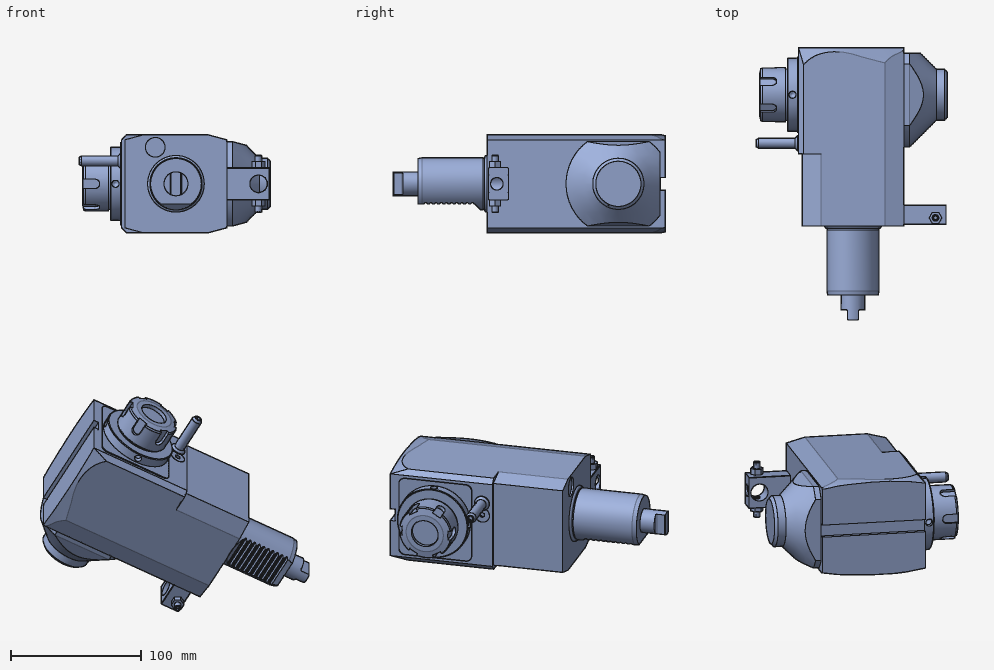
import cadquery as cq
import math


CLEARANCE = 2.0

HOUSING_HEIGHT = 75.0
HOUSING_LENGTH = 136.2
HOUSING_HALF_WIDTH = 39.0
HEAD_LEFT = -41.5
HEAD_START = 55.1
BEVEL_WIDTH = 14.5
BEVEL_SLOPE = math.tan(math.radians(15))
BEVEL_DROP = BEVEL_WIDTH * BEVEL_SLOPE
NOTCH_DEPTH = 4.0
NOTCH_HEIGHT = 9.5
TOP = HOUSING_HEIGHT / 2
BEVEL_Z = TOP - BEVEL_DROP

CROWN_STATIONS = (
    (-43.7, 4.4, 17.9),
    (-37.5, 3.1, 12.7),
    (-25.0, 1.7, 4.8),
    (-12.5, 0.8, 3.1),
    (0.0, 0.8, 5.0),
    (12.5, 1.5, 8.7),
    (25.0, 2.3, 11.9),
    (31.8, 3.3, 14.0),
    (41.5, 4.2, 16.2),
)

SPINDLE_Y = 100.3
PLATE_LENGTH = 57.8
PLATE_HEIGHT = 62.8
PLATE_CORNER = 4.8
PLATE_FACE = HEAD_LEFT - 0.8
FLANGE_RADIUS = 28.0
FLANGE_FACE = -50.1
FLANGE_CHAMFER = 0.6
FLANGE_HOLE_RADIUS = 2.7
FLANGE_HOLE_DEPTH = 4.2
FLANGE_HOLE_POINT = 1.5
FLANGE_HOLE_X = -46.2
FLANGE_HOLES = 4
GROOVE_RADIUS = 19.8
NUT_RADIUS = 20.8
NUT_BACK = -51.5
NUT_FRONT = -71.5
NUT_CONE_LENGTH = 1.0
NUT_CONE_RADIUS = 20.2
NUT_CHAMFER_LENGTH = 1.5
NUT_FACE_RADIUS = 14.8
NUT_BORE_RADIUS = 10.6
NUT_BORE_DEPTH = 3.1
NUT_SLOTS = 6
NUT_SLOT_WIDTH = 7.0
NUT_SLOT_FLOOR = 18.0
NUT_SLOT_END = -58.2

CAP_RADIUS = 40.0
CAP_BASE_END = 43.3
CAP_NECK_RADIUS = 19.5
CAP_END = 72.2
CAP_END_CHAMFER = 2.3
CAP_HALF_HEIGHT = 32.2
CAP_BACK_Y = SPINDLE_Y + 31.8

NOZZLE_Y = 63.2
NOZZLE_Z = 17.5
NOZZLE_RADIUS = 4.0
NOZZLE_TIP = -74.0
NOZZLE_TIP_LENGTH = 2.0
NOZZLE_TIP_RADIUS = 2.7
COLLAR_RADIUS = 5.8
COLLAR_LENGTH = 2.5
COLLAR_RIM = 0.8
PLUG_Z = 7.7
PLUG_RECESS = 0.2
SOCKET_SIZE = 4.2
SOCKET_DEPTH = 2.0

FRONT_RECESS_X = -15.8
FRONT_RECESS_Z = 27.9
FRONT_RECESS_RADIUS = 7.5
FRONT_RECESS_DEPTH = 1.5

SHANK_RADIUS = 20.0
SHANK_LENGTH = 52.8
SHANK_TAPER_LENGTH = 3.3
SHANK_TAPER = 0.6
SEAT_RADIUS = 21.6
SEAT_LENGTH = 1.9
SEAT_ROUNDING = 1.7
RELIEF_RADIUS = 19.3
RELIEF_END = 3.0
RACK_Z = -15.5
RACK_START = 5.0
RACK_GROOVES = 10
RACK_PITCH = 4.0
RACK_FIRST_GROOVE = 11.2
RACK_DEPTH = 1.2
RACK_ROOT_WIDTH = 0.6

DRIVE_RADIUS = 9.2
DRIVE_SHOULDER = 64.0
DRIVE_END = 71.8
TONGUE_WIDTH = 8.5
TONGUE_CHAMFER = 0.6
TONGUE_ROOT_FILLET = 0.8

ARM_END = 71.1
ARM_FRONT = 1.2
ARM_BACK = 16.2
ARM_HEIGHT = 24.5
ARM_HOLE_X = 63.0
ARM_HOLE_RADIUS = 6.7
ARM_EDGE_CHAMFER = 0.5
END_HOLE_Y = 7.5
END_HOLE_RADIUS = 4.8
SCREW_Y = 6.2
SCREW_RADIUS = 2.5
SCREW_END = 21.8
SCREW_START = 7.0
SCREW_CHAMFER = 0.5
SCREW_NUT_SIZE = 9.8
SCREW_NUT_HEIGHT = 4.5
SCREW_SOCKET_SIZE = 3.1


def turned(points, centre, axis):
    """Revolve a profile of (position along axis, radius) about an axis along X or Y."""
    along_x = axis == "X"
    direction = (1, 0, 0) if along_x else (0, 1, 0)
    normal = (0, 0, 1)
    plane = cq.Plane(centre, direction, normal)
    return cq.Workplane(plane).polyline(points).close().revolve(360, (0, 0, 0), (1, 0, 0))


def x_plane(x, y, z):
    """Workplane that looks toward +X; its extrusions run to +X."""
    return cq.Workplane(cq.Plane((x, y, z), (0, 1, 0), (1, 0, 0)))


def both_sides(half):
    """The shape together with its mirror image below the XY plane."""
    return half.union(half.mirror("XY"))


def housing():
    flat_x = HOUSING_HALF_WIDTH - BEVEL_WIDTH
    body = (
        cq.Workplane("XZ")
        .polyline([
            (-HOUSING_HALF_WIDTH, BEVEL_Z), (-flat_x, TOP), (flat_x, TOP), (HOUSING_HALF_WIDTH, BEVEL_Z),
            (HOUSING_HALF_WIDTH, -BEVEL_Z), (flat_x, -TOP), (-flat_x, -TOP), (-HOUSING_HALF_WIDTH, -BEVEL_Z),
        ])
        .close()
        .extrude(-HOUSING_LENGTH)
    )
    head_flat = HEAD_LEFT + BEVEL_DROP
    head = (
        cq.Workplane("XZ", origin=(0, HEAD_START, 0))
        .polyline([
            (HEAD_LEFT, BEVEL_Z), (head_flat, TOP), (0, TOP),
            (0, -TOP), (head_flat, -TOP), (HEAD_LEFT, -BEVEL_Z),
        ])
        .close()
        .extrude(HEAD_START - HOUSING_LENGTH)
    )
    notch = cq.Workplane("XY").box(4 * HOUSING_HALF_WIDTH, 2 * NOTCH_DEPTH, NOTCH_HEIGHT)
    notch = notch.translate((0, HOUSING_LENGTH, 0))
    front_recess = (
        cq.Workplane("XZ", origin=(FRONT_RECESS_X, 0, FRONT_RECESS_Z))
        .circle(FRONT_RECESS_RADIUS)
        .extrude(-FRONT_RECESS_DEPTH)
    )
    return body.union(head).cut(both_sides(crown_cutter())).cut(notch).cut(front_recess)


def crown_cutter():
    """Wedge removed above the back edge: triangular sections lofted along X."""
    sections = []
    for x, drop, reach in CROWN_STATIONS:
        corners = [(-2 * reach, drop), (reach, -2 * drop), (reach, drop)]
        sections.append(cq.Wire.makePolygon([
            cq.Vector(x, HOUSING_LENGTH + a, TOP + b) for a, b in corners
        ], close=True))
    return cq.Workplane(cq.Solid.makeLoft(sections))


def spindle():
    plate = (
        x_plane(PLATE_FACE, SPINDLE_Y, 0)
        .rect(PLATE_LENGTH, PLATE_HEIGHT)
        .extrude(HEAD_LEFT - PLATE_FACE)
        .edges("|X")
        .fillet(PLATE_CORNER)
    )
    cone_end = NUT_FRONT + NUT_CONE_LENGTH
    nut_and_flange = turned([
        (HEAD_LEFT, 0), (HEAD_LEFT, FLANGE_RADIUS),
        (FLANGE_FACE + FLANGE_CHAMFER, FLANGE_RADIUS), (FLANGE_FACE, FLANGE_RADIUS - FLANGE_CHAMFER),
        (FLANGE_FACE, GROOVE_RADIUS), (NUT_BACK, GROOVE_RADIUS), (NUT_BACK, NUT_RADIUS),
        (cone_end + NUT_CHAMFER_LENGTH, NUT_RADIUS), (cone_end, NUT_CONE_RADIUS),
        (NUT_FRONT, NUT_FACE_RADIUS), (NUT_FRONT, NUT_BORE_RADIUS),
        (NUT_FRONT + NUT_BORE_DEPTH, NUT_BORE_RADIUS), (NUT_FRONT + NUT_BORE_DEPTH, 0),
    ], (0, SPINDLE_Y, 0), "X")

    slot_length = 2 * (NUT_SLOT_END - NUT_FRONT)
    slot = (
        cq.Workplane("XY", origin=(NUT_FRONT, SPINDLE_Y, NUT_SLOT_FLOOR))
        .slot2D(slot_length, NUT_SLOT_WIDTH)
        .extrude(NUT_RADIUS)
    )
    floor = FLANGE_RADIUS - FLANGE_HOLE_DEPTH
    hole = (
        cq.Workplane("XZ", origin=(FLANGE_HOLE_X, SPINDLE_Y, 0))
        .polyline([
            (0, floor - FLANGE_HOLE_POINT), (FLANGE_HOLE_RADIUS, floor),
            (FLANGE_HOLE_RADIUS, FLANGE_RADIUS + CLEARANCE), (0, FLANGE_RADIUS + CLEARANCE),
        ])
        .close()
        .revolve(360, (0, 0, 0), (0, 1, 0))
    )
    axis = ((0, SPINDLE_Y, 0), (1, SPINDLE_Y, 0))
    for i in range(NUT_SLOTS):
        nut_and_flange = nut_and_flange.cut(slot.rotate(*axis, 90 + i * 360 / NUT_SLOTS))
    for i in range(FLANGE_HOLES):
        nut_and_flange = nut_and_flange.cut(hole.rotate(*axis, i * 360 / FLANGE_HOLES))
    return plate.union(nut_and_flange)


def rear_cap():
    cone_end = CAP_BASE_END + CAP_RADIUS - CAP_NECK_RADIUS
    cap = turned([
        (HOUSING_HALF_WIDTH, 0), (HOUSING_HALF_WIDTH, CAP_RADIUS), (CAP_BASE_END, CAP_RADIUS),
        (cone_end, CAP_NECK_RADIUS), (CAP_END - CAP_END_CHAMFER, CAP_NECK_RADIUS),
        (CAP_END, CAP_NECK_RADIUS - CAP_END_CHAMFER), (CAP_END, 0),
    ], (0, SPINDLE_Y, 0), "X")
    slope_drop = (CAP_END - CAP_BASE_END) * BEVEL_SLOPE
    end_height = CAP_HALF_HEIGHT - slope_drop
    envelope = (
        cq.Workplane("XZ", origin=(0, CAP_BACK_Y, 0))
        .polyline([
            (HOUSING_HALF_WIDTH, CAP_HALF_HEIGHT), (CAP_BASE_END, CAP_HALF_HEIGHT), (CAP_END, end_height),
            (CAP_END, -end_height), (CAP_BASE_END, -CAP_HALF_HEIGHT), (HOUSING_HALF_WIDTH, -CAP_HALF_HEIGHT),
        ])
        .close()
        .extrude(2 * CAP_RADIUS)
    )
    return cap.intersect(envelope)


def nozzle():
    collar_front = HEAD_LEFT - COLLAR_LENGTH
    body = turned([
        (HEAD_LEFT, 0), (HEAD_LEFT, COLLAR_RADIUS), (HEAD_LEFT - COLLAR_RIM, COLLAR_RADIUS),
        (collar_front, NOZZLE_RADIUS), (NOZZLE_TIP + NOZZLE_TIP_LENGTH, NOZZLE_RADIUS),
        (NOZZLE_TIP, NOZZLE_TIP_RADIUS), (NOZZLE_TIP, 0),
    ], (0, NOZZLE_Y, NOZZLE_Z), "X")
    return body.cut(hex_socket(NOZZLE_TIP, NOZZLE_Z))


def hex_socket(x, z):
    """Hexagonal pocket on the nozzle line, one corner up, running to +X."""
    plane = cq.Plane((x, NOZZLE_Y, z), (0, 0, 1), (1, 0, 0))
    return cq.Workplane(plane).polygon(6, SOCKET_SIZE).extrude(SOCKET_DEPTH)


def plug_recess():
    disc = x_plane(HEAD_LEFT, NOZZLE_Y, PLUG_Z).circle(COLLAR_RADIUS).extrude(PLUG_RECESS)
    return disc.union(hex_socket(HEAD_LEFT, PLUG_Z))


def shank():
    seat = cq.Workplane("XZ").circle(SEAT_RADIUS).extrude(SEAT_LENGTH)
    seat = seat.faces("<Y").edges().fillet(SEAT_ROUNDING)
    body = turned([
        (0, 0), (0, RELIEF_RADIUS), (-SEAT_LENGTH, RELIEF_RADIUS), (-RELIEF_END, SHANK_RADIUS),
        (-SHANK_LENGTH + SHANK_TAPER_LENGTH, SHANK_RADIUS),
        (-SHANK_LENGTH, SHANK_RADIUS - SHANK_TAPER), (-SHANK_LENGTH, 0),
    ], (0, 0, 0), "Y").union(seat)
    return body.cut(rack_cutter())


def rack_cutter():
    """Flat under the shank, reached by a 45 degree ramp, with a row of V grooves across it."""
    bottom = -SHANK_RADIUS - CLEARANCE
    ramp_start = -RACK_START + CLEARANCE
    ramp_end = ramp_start + bottom - RACK_Z
    flat = (
        cq.Workplane("YZ")
        .polyline([
            (ramp_start, bottom), (ramp_end, RACK_Z), (-SHANK_LENGTH, RACK_Z), (-SHANK_LENGTH, bottom),
        ])
        .close()
        .extrude(SHANK_RADIUS, both=True)
    )
    root = RACK_ROOT_WIDTH / 2
    crest = root + RACK_DEPTH
    groove = (
        cq.Workplane("YZ")
        .polyline([
            (-crest, RACK_Z), (-root, RACK_Z + RACK_DEPTH), (root, RACK_Z + RACK_DEPTH), (crest, RACK_Z),
        ])
        .close()
        .extrude(SHANK_RADIUS, both=True)
    )
    for i in range(RACK_GROOVES):
        flat = flat.union(groove.translate((0, -RACK_FIRST_GROOVE - i * RACK_PITCH, 0)))
    return flat


def drive_tongue():
    bar = cq.Workplane("XZ", origin=(0, -SHANK_LENGTH, 0)).circle(DRIVE_RADIUS)
    bar = bar.extrude(DRIVE_END - SHANK_LENGTH)
    side = (
        cq.Workplane("XY")
        .box(DRIVE_RADIUS, DRIVE_END - DRIVE_SHOULDER, 3 * DRIVE_RADIUS, centered=(False, False, True))
        .edges("|Z and <X and >Y")
        .fillet(TONGUE_ROOT_FILLET)
        .translate((TONGUE_WIDTH / 2, -DRIVE_END, 0))
    )
    return bar.cut(side).cut(side.mirror("YZ")).faces("<Y").edges("|Z").chamfer(TONGUE_CHAMFER)


def arm():
    length = ARM_END - HOUSING_HALF_WIDTH
    bar = (
        cq.Workplane("XY")
        .box(length, ARM_BACK - ARM_FRONT, ARM_HEIGHT, centered=(False, False, True))
        .translate((HOUSING_HALF_WIDTH, ARM_FRONT, 0))
        .edges("|X")
        .chamfer(ARM_EDGE_CHAMFER)
    )
    cross_hole = cq.Workplane("XZ", origin=(ARM_HOLE_X, 0, 0)).circle(ARM_HOLE_RADIUS).extrude(-ARM_BACK)
    end_hole = x_plane(ARM_HOLE_X, END_HOLE_Y, 0).circle(END_HOLE_RADIUS).extrude(ARM_END - ARM_HOLE_X)
    screw_hole = cq.Workplane("XY", origin=(ARM_HOLE_X, SCREW_Y, 0)).circle(SCREW_RADIUS)
    screw_hole = screw_hole.extrude(SCREW_START, both=True)
    return bar.cut(cross_hole).cut(end_hole).cut(screw_hole).union(both_sides(clamp_screw()))


def clamp_screw():
    screw = (
        cq.Workplane("XY", origin=(ARM_HOLE_X, SCREW_Y, SCREW_START))
        .circle(SCREW_RADIUS)
        .extrude(SCREW_END - SCREW_START)
        .faces(">Z")
        .chamfer(SCREW_CHAMFER)
        .faces(">Z")
        .workplane()
        .polygon(6, SCREW_SOCKET_SIZE)
        .cutBlind(-SOCKET_DEPTH)
    )
    nut = cq.Workplane("XY", origin=(ARM_HOLE_X, SCREW_Y, ARM_HEIGHT / 2)).polygon(6, SCREW_NUT_SIZE)
    nut = nut.extrude(SCREW_NUT_HEIGHT).cut(screw)
    return screw.union(nut)


result = housing()
for attachment in (spindle(), rear_cap(), shank(), drive_tongue(), arm()):
    result = result.union(attachment)
result = result.cut(plug_recess()).union(nozzle())